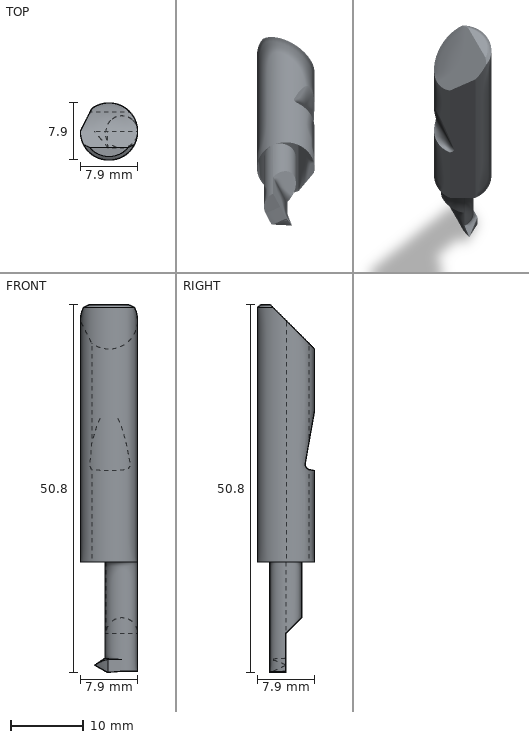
import cadquery as cq
import math

total_length = 50.8
shank_radius = 3.95
shank_bottom = 15.25

top_chamfer_height = 0.4
top_chamfer_width = 0.5
top_slope_start_y = -2.2

flat_direction = 153.0
flat_distance = 3.55

notch_bottom = 27.9
notch_length = 8.3
notch_tilt = math.radians(10)
notch_fillet = 0.75

neck_diameter = 4.5
neck_radius = neck_diameter / 2
back_neck_radius = 2.2
neck_x = shank_radius - neck_radius
neck_bottom = 0.15
neck_slope_bottom = 5.4

tip_x = -2.0
tip_z = 1.0
tip_top = 2.05
tip_top_x = -0.5
tip_bottom_x = -0.2
heel_top = 1.85
heel_x = -0.1


def make_shank():
    shank = (
        cq.Workplane("XY").workplane(offset=shank_bottom)
        .circle(shank_radius).extrude(total_length - shank_bottom)
        .faces(">Z").chamfer(top_chamfer_height, top_chamfer_width)
    )
    slope_run = shank_radius - top_slope_start_y
    end_cut = (
        cq.Workplane("YZ")
        .moveTo(top_slope_start_y, total_length)
        .lineTo(shank_radius, total_length - slope_run)
        .lineTo(shank_radius, total_length)
        .close().extrude(shank_radius, both=True)
    )
    flat_cut = (
        cq.Workplane("XY")
        .box(shank_radius, 2 * shank_radius, total_length, centered=(False, True, False))
        .translate((flat_distance, 0, 0))
        .rotate((0, 0, 0), (0, 0, 1), flat_direction)
    )
    return shank.cut(end_cut).cut(flat_cut)


def make_clamping_notch():
    """Square-cornered groove tilted into the +Y side, with a rounded inner corner."""
    floor_length = notch_length * math.sin(notch_tilt)
    corner_y = shank_radius - floor_length * math.cos(notch_tilt)
    corner_z = notch_bottom + floor_length * math.sin(notch_tilt)
    side = 2 * notch_length
    return (
        cq.Workplane("YZ").rect(side, side, centered=False)
        .extrude(shank_radius, both=True)
        .edges("|X and <Y and <Z").fillet(notch_fillet)
        .rotate((0, 0, 0), (1, 0, 0), -math.degrees(notch_tilt))
        .translate((0, corner_y, corner_z))
    )


def make_neck_cylinder(radius):
    """Neck rod touching the +X side of the shank."""
    return (
        cq.Workplane("XY").workplane(offset=neck_bottom).center(shank_radius - radius, 0)
        .circle(radius).extrude(shank_bottom - neck_bottom)
    )


def make_neck():
    """Front half of full length, and a slightly thinner back half ending in a 45 degree slope."""
    back_region = (
        cq.Workplane("YZ")
        .moveTo(0, shank_bottom)
        .lineTo(0, neck_slope_bottom)
        .lineTo(neck_radius, neck_slope_bottom + neck_radius)
        .lineTo(neck_radius, shank_bottom)
        .close().extrude(shank_radius, both=True)
    )
    front_region = (
        cq.Workplane("XY")
        .box(2 * shank_radius, neck_radius, shank_bottom, centered=(True, False, False))
        .translate((0, -neck_radius, 0))
    )
    front_half = make_neck_cylinder(neck_radius).intersect(front_region)
    back_half = make_neck_cylinder(back_neck_radius).intersect(back_region)
    return front_half.union(back_half)


def make_tip_profile(plane, top_x, top_z):
    """Pointed XZ outline whose upper flank ends at the given point."""
    return plane.polyline([
        (tip_x, tip_z),
        (top_x, top_z),
        (neck_x, top_z),
        (neck_x, neck_bottom),
        (tip_bottom_x, 0),
    ]).close()


def make_tip():
    """Pointed body with a top falling towards -Y, trimmed by a slanting side clearance."""
    back_profile = make_tip_profile(cq.Workplane("XZ"), tip_top_x, tip_top)
    front_plane = back_profile.workplane(offset=neck_radius)
    body = make_tip_profile(front_plane, heel_x, heel_top).loft(ruled=True)
    plan = (
        cq.Workplane("XY")
        .polyline([(tip_x, 0), (heel_x, -neck_radius), (neck_x, -neck_radius), (neck_x, 0)])
        .close().extrude(tip_top)
    )
    return body.intersect(plan)


result = make_shank().cut(make_clamping_notch()).union(make_neck()).union(make_tip())